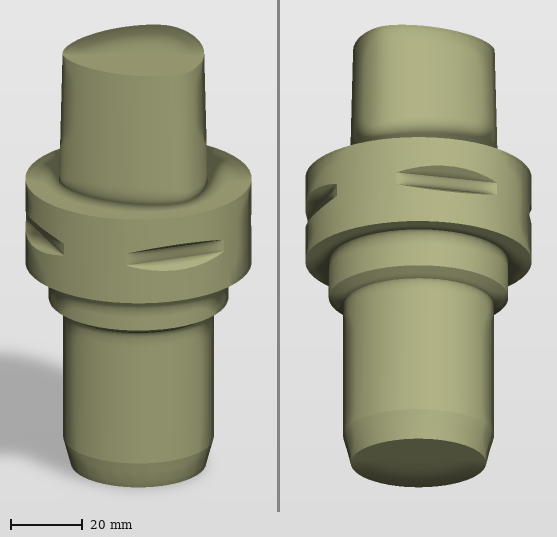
import cadquery as cq
import math

flange_diameter = 63.0
flange_height = 25.0
collar_diameter = 50.0
nose_diameter = 42.0
body_length = 85.0
collar_end_depth = 38.0
collar_cone_angle = 30.0
tip_length = 8.0
tip_angle = 15.0

shank_length = 38.0
shank_base_radius = 20.65
shank_taper = 1 / 20
shank_lobe = 1.5
shank_curve_points = 36

groove_count = 4
groove_start_angle = 45.0
groove_depth = 3.6
groove_floor_height = 3.5
groove_flank_angle = 30.0
groove_centre_depth = 12.0


def make_body():
    flange_radius = flange_diameter / 2
    collar_radius = collar_diameter / 2
    nose_radius = nose_diameter / 2
    tip_radius = nose_radius - tip_length * math.tan(math.radians(tip_angle))
    cone_height = (collar_radius - nose_radius) * math.tan(math.radians(collar_cone_angle))
    half_profile = [
        (0, 0),
        (flange_radius, 0),
        (flange_radius, -flange_height),
        (collar_radius, -flange_height),
        (collar_radius, -collar_end_depth + cone_height),
        (nose_radius, -collar_end_depth),
        (nose_radius, -body_length + tip_length),
        (tip_radius, -body_length),
        (0, -body_length),
    ]
    return cq.Workplane("XZ").polyline(half_profile).close().revolve(360, (0, 0, 0), (0, 1, 0))


def shank_outline(mean_radius):
    """Points of a constant-width three-lobed curve: one lobe toward +Y, first point on the -Y flat."""
    points = []
    for index in range(shank_curve_points):
        angle = math.pi + 2 * math.pi * index / shank_curve_points
        along_y = mean_radius * math.cos(angle)
        along_y += shank_lobe * (2 * math.cos(2 * angle) - math.cos(4 * angle))
        along_x = -mean_radius * math.sin(angle)
        along_x += shank_lobe * (2 * math.sin(2 * angle) + math.sin(4 * angle))
        points.append((along_x, along_y))
    return points


def make_shank():
    top_radius = shank_base_radius - shank_length * shank_taper / 2
    return (
        cq.Workplane("XY")
        .spline(shank_outline(shank_base_radius), periodic=True)
        .close()
        .workplane(offset=shank_length)
        .spline(shank_outline(top_radius), periodic=True)
        .close()
        .loft(ruled=True)
    )


def make_groove(angle):
    """Straight trapezoidal cutter that crosses the flange rim at the given angle about Z."""
    floor_radius = flange_diameter / 2 - groove_depth
    mouth_radius = floor_radius + 2 * groove_depth
    floor_half = groove_floor_height / 2
    flank_slope = math.tan(math.radians(groove_flank_angle))
    mouth_half = floor_half + (mouth_radius - floor_radius) * flank_slope
    section = [
        (floor_radius, floor_half),
        (mouth_radius, mouth_half),
        (mouth_radius, -mouth_half),
        (floor_radius, -floor_half),
    ]
    return (
        cq.Workplane("XZ", origin=(0, 0, -groove_centre_depth))
        .polyline(section)
        .close()
        .extrude(flange_diameter / 2, both=True)
        .rotate((0, 0, 0), (0, 0, 1), angle)
    )


result = make_body().union(make_shank())
for index in range(groove_count):
    result = result.cut(make_groove(groove_start_angle + index * 360 / groove_count))